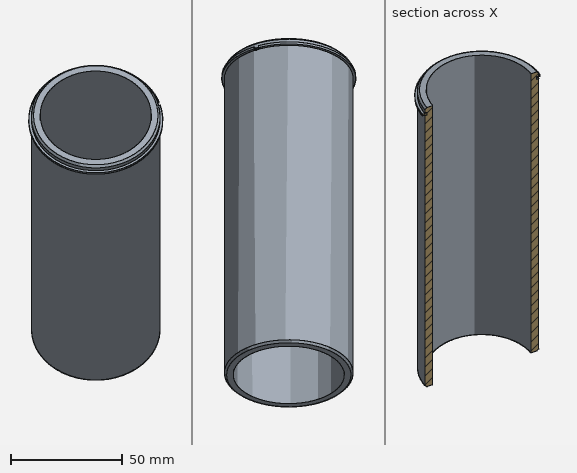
import cadquery as cq

sleeve_length = 160.0
sleeve_diameter = 58.0
bore_diameter = 50.0
end_chamfer = 1.0

ring_outer_diameter = 60.4
ring_thickness = 1.1
ring_top_offset = 3.1
ring_gap = 2.2
groove_depth = 1.0

groove_diameter = sleeve_diameter - 2 * groove_depth
ring_bottom = sleeve_length - ring_top_offset - ring_thickness


def annulus(outer_diameter, inner_diameter, height, base_z):
    """Flat-ended ring about the Z axis, rising from base_z."""
    return (
        cq.Workplane("XY")
        .workplane(offset=base_z)
        .circle(outer_diameter / 2)
        .circle(inner_diameter / 2)
        .extrude(height)
    )


def make_sleeve():
    """Tube with chamfered outer ends and a snap ring groove."""
    blank = (
        cq.Workplane("XY")
        .circle(sleeve_diameter / 2)
        .extrude(sleeve_length)
        .faces("<Z or >Z")
        .chamfer(end_chamfer)
    )
    bored = blank.faces(">Z").workplane().hole(bore_diameter)
    groove = annulus(sleeve_diameter, groove_diameter, ring_thickness, ring_bottom)
    return bored.cut(groove)


def make_snap_ring():
    """Flat ring resting on the groove floor, split by a parallel gap at +Y."""
    ring = annulus(ring_outer_diameter, groove_diameter, ring_thickness, ring_bottom)
    gap = (
        cq.Workplane("XY")
        .workplane(offset=ring_bottom)
        .rect(ring_gap, ring_outer_diameter)
        .extrude(ring_thickness)
        .translate((0, ring_outer_diameter / 2, 0))
    )
    return ring.cut(gap)


sleeve = make_sleeve()
snap_ring = make_snap_ring()

result = cq.Compound.makeCompound([sleeve.val(), snap_ring.val()])